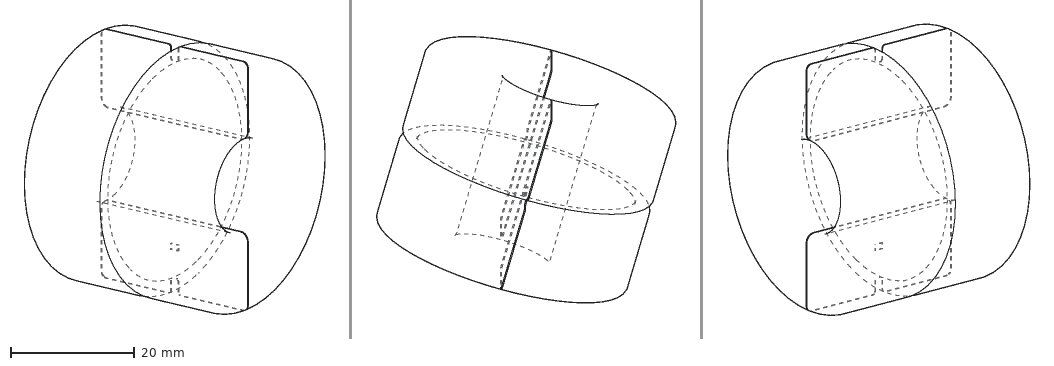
import cadquery as cq

length = 30.0
outer_radius = 42.5 / 2
bore_radius = 15.8 / 2

outer_edge_radius = 1.0
bore_edge_radius = 1.5

groove_width = 1.5
groove_floor_radius = 37.0 / 2
groove_mouth_radius = 0.5
groove_corner_radius = 0.5

slit_width = 0.2

web_length = groove_width
web_height = 1.0

half_length = length / 2
half_groove = groove_width / 2
web_center_z = -(bore_radius + groove_floor_radius) / 2
matching_tolerance = 1e-3


def cylinder_along_x(radius, width):
    """Cylinder on the X axis, centred on the origin."""
    return cq.Workplane("YZ").circle(radius).extrude(width / 2, both=True)


def end_circles(body, radius, half_width):
    """Circular edges of the given radius at X = -half_width and X = +half_width."""
    return body.edges("%CIRCLE").filter(
        lambda edge: abs(edge.radius() - radius) < matching_tolerance
        and abs(abs(edge.Center().x) - half_width) < matching_tolerance
    )


def make_bush():
    """Bored cylinder with rounded outer and bore edges at both ends."""
    bush = cylinder_along_x(outer_radius, length).cut(cylinder_along_x(bore_radius, length))
    bush = end_circles(bush, outer_radius, half_length).fillet(outer_edge_radius)
    return end_circles(bush, bore_radius, half_length).fillet(bore_edge_radius)


def cut_groove(bush):
    """Groove around the rim, rounded at its mouth and in its floor corners."""
    ring = cylinder_along_x(outer_radius, groove_width).cut(
        cylinder_along_x(groove_floor_radius, groove_width)
    )
    grooved = bush.cut(ring)
    grooved = end_circles(grooved, outer_radius, half_groove).fillet(groove_mouth_radius)
    return end_circles(grooved, groove_floor_radius, half_groove).fillet(groove_corner_radius)


def cut_slit(bush):
    """Narrow slit through both walls over the full length, except at the inner web."""
    slit = cq.Workplane("XY").box(length, slit_width, 2 * outer_radius)
    web = (
        cq.Workplane("XY")
        .box(web_length, slit_width, web_height)
        .translate((0, 0, web_center_z))
    )
    return bush.cut(slit.cut(web))


result = cut_slit(cut_groove(make_bush()))